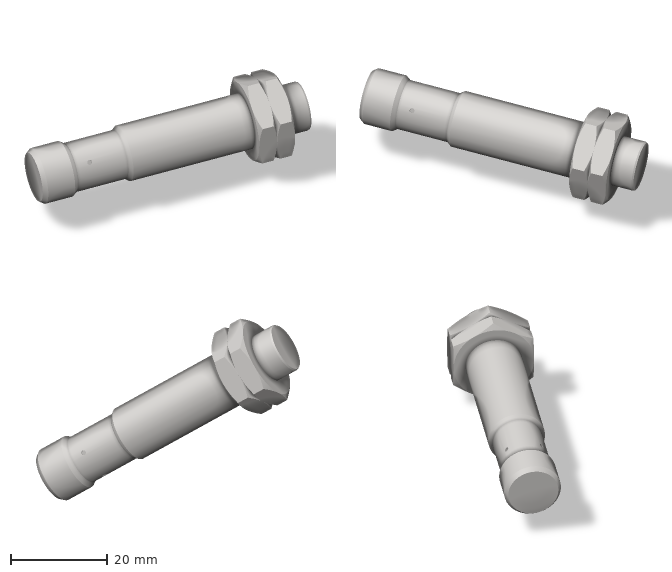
import cadquery as cq
import math

length = 60.0
cap_length = 6.95
cap_chamfer_length = 0.95
cap_shoulder_length = 1.0
body_start = 19.1
body_end_chamfer_length = 0.9
tail_chamfer = 0.35

body_radius = 6.0
neck_radius = 5.3
tail_chamfer_drop = 0.2

nut_across_flats = 17.0
nut_thickness = 4.0
nut_count = 2
nut_start = 47.05
nut_chamfer_angle = 30.0
nuts_end = nut_start + nut_count * nut_thickness

indicator_diameter = 1.0
indicator_depth = 0.3
indicator_y = 11.05
indicator_angles = (45, 135, 225, 315)


def make_body():
    """Turned body: cap, neck, main barrel and reduced tail."""
    profile = [
        (0, 0),
        (neck_radius, 0),
        (body_radius, cap_chamfer_length),
        (body_radius, cap_length),
        (neck_radius, cap_length + cap_shoulder_length),
        (neck_radius, body_start),
        (body_radius, body_start + body_end_chamfer_length),
        (body_radius, nuts_end),
        (neck_radius, nuts_end),
        (neck_radius, length - tail_chamfer),
        (neck_radius - tail_chamfer_drop, length),
        (0, length),
    ]
    return cq.Workplane("XY").polyline(profile).close().revolve(360, (0, 0), (0, 1))


def make_nut(start):
    """Hexagon nut with points up and down and conical chamfers on both faces."""
    face_radius = nut_across_flats / 2
    corner_radius = face_radius / math.cos(math.radians(30))
    chamfer_length = (corner_radius - face_radius) * math.tan(math.radians(nut_chamfer_angle))
    end = start + nut_thickness
    hexagon = (
        cq.Workplane("XZ", origin=(0, end, 0))
        .transformed(rotate=(0, 0, 90))
        .polygon(6, 2 * corner_radius)
        .extrude(nut_thickness)
    )
    envelope_profile = [
        (0, start),
        (face_radius, start),
        (corner_radius, start + chamfer_length),
        (corner_radius, end - chamfer_length),
        (face_radius, end),
        (0, end),
    ]
    envelope = cq.Workplane("XY").polyline(envelope_profile).close().revolve(360, (0, 0), (0, 1))
    return hexagon.intersect(envelope)


def make_indicator_hole(angle):
    """Cutter for one shallow radial hole in the neck."""
    return (
        cq.Workplane("XY", origin=(0, indicator_y, neck_radius - indicator_depth))
        .circle(indicator_diameter / 2)
        .extrude(2 * indicator_depth)
        .rotate((0, 0, 0), (0, 1, 0), angle)
    )


result = make_body()
for index in range(nut_count):
    result = result.union(make_nut(nut_start + index * nut_thickness))
for angle in indicator_angles:
    result = result.cut(make_indicator_hole(angle))